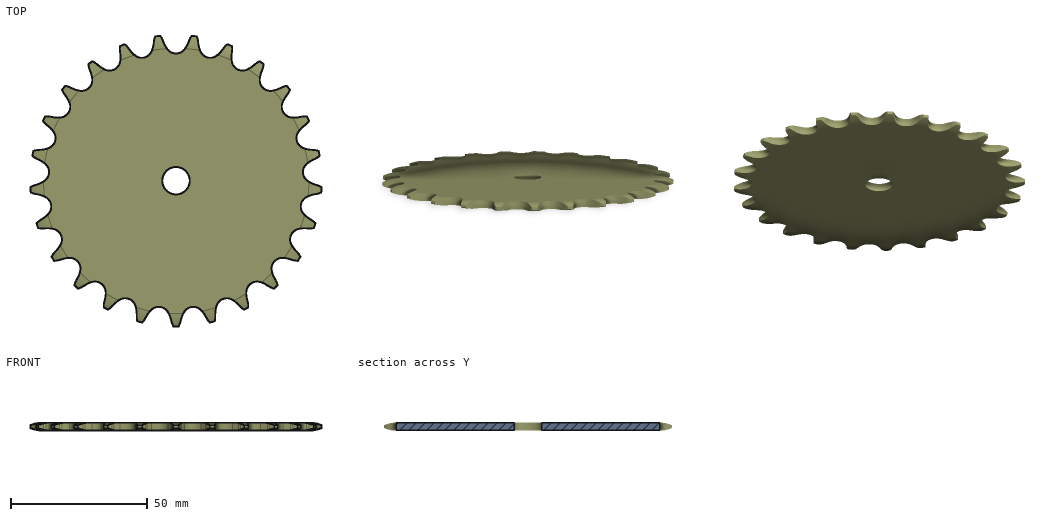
import cadquery as cq
import math


INCH = 25.4

tooth_count = 25
chain_pitch = 12.7
roller_diameter = 7.75
thickness = 3.0
bore_diameter = 10.0
tip_radius = 53.55

tooth_angle = 360.0 / tooth_count
pitch_radius = chain_pitch / (2 * math.sin(math.pi / tooth_count))

fit_allowance = 0.0015 * INCH
seat_radius = 0.5025 * roller_diameter + fit_allowance
seat_end_angle = math.radians(35 + 60 / tooth_count)
working_offset = 0.8 * roller_diameter
working_radius = seat_radius + working_offset
working_turn = math.radians(18 - 56 / tooth_count)
topping_offset = 1.4 * roller_diameter
topping_offset_angle = math.radians(17 - 64 / tooth_count)
straight_length = topping_offset * math.sin(topping_offset_angle) - working_offset * math.sin(working_turn)
topping_radius = (
    working_offset * math.cos(working_turn)
    + topping_offset * math.cos(topping_offset_angle)
    - working_radius
)
topping_turn = math.radians(25)

relief_start_radius = 48.7
relief_arc_radius = chain_pitch


def offset_point(centre, distance, angle):
    """Point at a distance from a centre, at an angle above the +X direction."""
    return (centre[0] + distance * math.cos(angle), centre[1] + distance * math.sin(angle))


def gap_cutter():
    """Prism filling the tooth gap centred on +Y."""
    seat_centre = (0, pitch_radius)
    root_point = (0, pitch_radius - seat_radius)
    seat_middle_angle = -(math.pi / 2 + seat_end_angle) / 2
    seat_middle = offset_point(seat_centre, seat_radius, seat_middle_angle)
    seat_end = offset_point(seat_centre, seat_radius, -seat_end_angle)

    flank_angle = working_turn - seat_end_angle
    working_centre = offset_point(seat_centre, -working_offset, -seat_end_angle)
    working_middle = offset_point(working_centre, working_radius, working_turn / 2 - seat_end_angle)
    working_end = offset_point(working_centre, working_radius, flank_angle)

    straight_end = offset_point(working_end, straight_length, flank_angle + math.pi / 2)

    topping_centre = offset_point(straight_end, topping_radius, flank_angle)
    topping_middle = offset_point(topping_centre, -topping_radius, flank_angle - topping_turn / 2)
    topping_end = offset_point(topping_centre, -topping_radius, flank_angle - topping_turn)

    half_gap = (
        cq.Workplane("XY")
        .moveTo(*root_point)
        .threePointArc(seat_middle, seat_end)
        .threePointArc(working_middle, working_end)
        .lineTo(*straight_end)
        .threePointArc(topping_middle, topping_end)
        .lineTo(0, topping_end[1])
        .close()
        .extrude(thickness)
    )
    return half_gap.union(half_gap.mirror("YZ"))


def relief_blank():
    """Turned disc that thins toward its rim on both faces."""
    def drop(radius):
        reach = radius - relief_start_radius
        return relief_arc_radius - math.sqrt(relief_arc_radius**2 - reach**2)

    middle_radius = (relief_start_radius + tip_radius) / 2
    middle_drop = drop(middle_radius)
    tip_drop = drop(tip_radius)
    return (
        cq.Workplane("XZ")
        .lineTo(relief_start_radius, 0)
        .threePointArc((middle_radius, middle_drop), (tip_radius, tip_drop))
        .lineTo(tip_radius, thickness - tip_drop)
        .threePointArc((middle_radius, thickness - middle_drop), (relief_start_radius, thickness))
        .lineTo(0, thickness)
        .close()
        .revolve(360, (0, 0), (0, 1))
    )


def cut_tooth_gaps(blank):
    """Cut the gap at every tooth pitch around the rim."""
    cutter = gap_cutter()
    for index in range(tooth_count):
        blank = blank.cut(cutter.rotate((0, 0, 0), (0, 0, 1), index * tooth_angle))
    return blank


def bore():
    return cq.Workplane("XY").circle(bore_diameter / 2).extrude(thickness)


result = cut_tooth_gaps(relief_blank()).cut(bore())